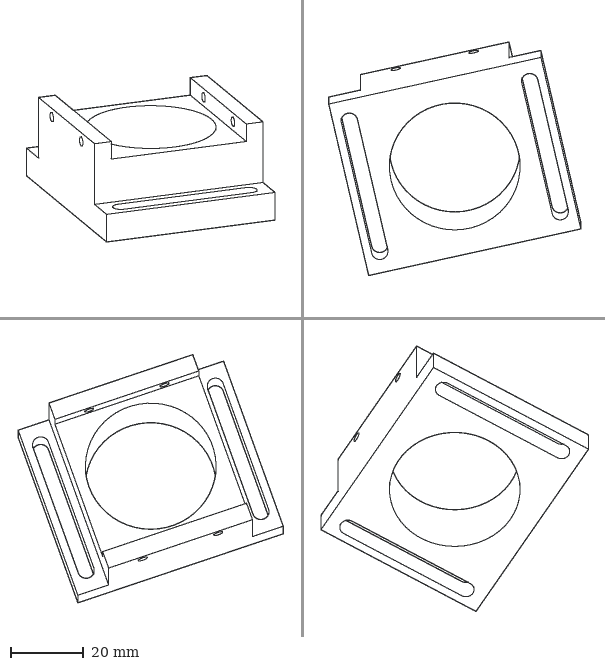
import cadquery as cq

length = 60.0
depth = 50.0
height = 25.8

body_width = 42.0
flange_height = 8.1

wall_thickness = 5.0
channel_depth = 5.1
bore_diameter = 36.0

slot_spacing = 51.0
slot_width = 4.5
slot_length = 42.5

pin_spacing = 22.0
pin_diameter = 2.6
pin_height = height - channel_depth / 2


def make_block(width, block_depth, block_height, bottom=0):
    """Box centred in X and Y, standing on the given Z level."""
    return (
        cq.Workplane("XY")
        .workplane(offset=bottom)
        .rect(width, block_depth)
        .extrude(block_height)
    )


base = make_block(length, depth, flange_height)
body = make_block(body_width, depth, height)
channel = make_block(
    body_width, depth - 2 * wall_thickness, channel_depth, height - channel_depth
)
bore = cq.Workplane("XY").circle(bore_diameter / 2).extrude(height)
slots = (
    cq.Workplane("XY")
    .pushPoints([(-slot_spacing / 2, 0), (slot_spacing / 2, 0)])
    .slot2D(slot_length, slot_width, angle=90)
    .extrude(flange_height)
)
pin_holes = (
    cq.Workplane("XZ")
    .pushPoints([(-pin_spacing / 2, pin_height), (pin_spacing / 2, pin_height)])
    .circle(pin_diameter / 2)
    .extrude(depth / 2, both=True)
)

result = base.union(body).cut(channel).cut(bore).cut(slots).cut(pin_holes)